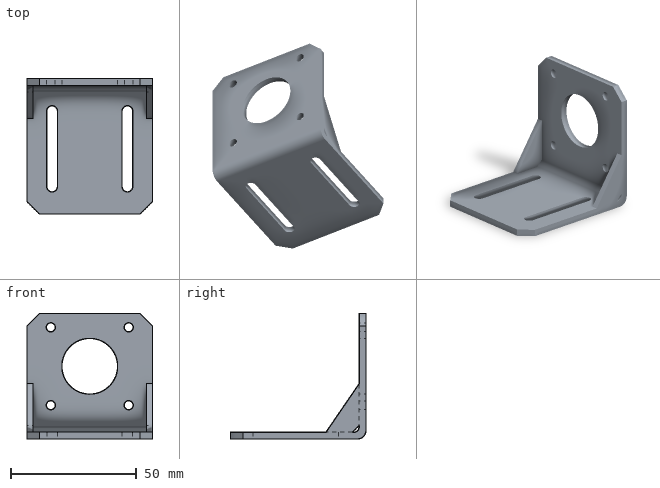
import cadquery as cq

width = 50.0
depth = 54.0
height = 50.0
wall_thickness = 2.8
base_thickness = 2.75
inner_bend_radius = 2.15
outer_bend_radius = 3.5
corner_chamfer = 5.0

gusset_thickness = 2.5
gusset_reach = 13.2
gusset_height = 19.3
gusset_relief = 2.6

pilot_diameter = 22.1
pilot_center_z = 29.0
screw_hole_diameter = 3.5
screw_hole_spacing = 31.0

slot_width = 4.2
slot_length = 34.2
slot_spacing = 30.0
slot_center_from_back = 28.0

wall_face_y = -wall_thickness
base_face_z = base_thickness


def bent_plate():
    """Base and wall with chamfered free corners, joined at a rounded bend."""
    base = cq.Workplane("XY").box(width, depth, base_thickness, centered=(True, False, False))
    base = base.translate((0, -depth, 0))
    base = base.edges("|Z and <Y").chamfer(corner_chamfer)
    wall = cq.Workplane("XY").box(width, wall_thickness, height, centered=(True, False, False))
    wall = wall.translate((0, -wall_thickness, 0))
    wall = wall.edges("|Y and >Z").chamfer(corner_chamfer)
    plate = base.union(wall)
    inner_bend_edge = cq.selectors.NearestToPointSelector((0, wall_face_y, base_face_z))
    plate = plate.edges(inner_bend_edge).fillet(inner_bend_radius)
    outer_bend_edge = cq.selectors.NearestToPointSelector((0, 0, 0))
    return plate.edges(outer_bend_edge).fillet(outer_bend_radius)


def gusset(start_x):
    """Triangular web whose inner corner is cut off, leaving a small opening at the bend."""
    profile = [
        (wall_face_y, base_face_z + gusset_relief),
        (wall_face_y, base_face_z + gusset_height),
        (wall_face_y - gusset_reach, base_face_z),
        (wall_face_y - gusset_relief, base_face_z),
    ]
    plane = cq.Workplane("YZ", origin=(start_x, 0, 0))
    return plane.polyline(profile).close().extrude(gusset_thickness)


def motor_holes():
    """Pilot bore and four screw holes through the wall."""
    plane = cq.Workplane("XZ", origin=(0, 0, pilot_center_z))
    pilot = plane.circle(pilot_diameter / 2).extrude(wall_thickness)
    screws = plane.rect(screw_hole_spacing, screw_hole_spacing, forConstruction=True).vertices()
    return pilot.union(screws.circle(screw_hole_diameter / 2).extrude(wall_thickness))


def base_slots():
    """Two parallel slots through the base, running along Y."""
    plane = cq.Workplane("XY", origin=(0, -slot_center_from_back, 0))
    centers = [(-slot_spacing / 2, 0), (slot_spacing / 2, 0)]
    return plane.pushPoints(centers).slot2D(slot_length, slot_width, 90).extrude(base_thickness)


bracket = bent_plate()
for gusset_start_x in (-width / 2, width / 2 - gusset_thickness):
    bracket = bracket.union(gusset(gusset_start_x))

result = bracket.cut(motor_holes()).cut(base_slots())